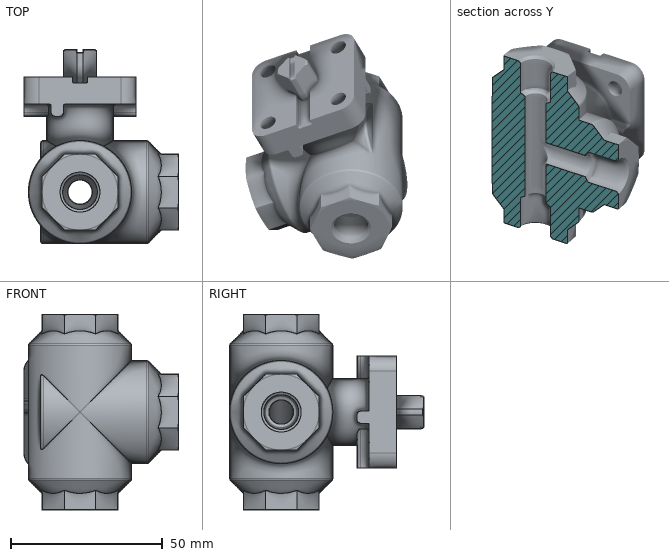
import cadquery as cq
import math

BODY_DIA = 34.0
BODY_R = BODY_DIA / 2
SHOULDER = 22.3
SHOULDER_FILLET = 1.0
BLIND_END = 13.0
BLIND_FILLET = 1.0

NUT_FLATS = 25.0
NUT_SIDES = 8
NUT_CORNER_R = NUT_FLATS / 2 / math.cos(math.pi / NUT_SIDES)
NUT_CORNER_DROP = 0.2
RUN_LENGTH = 32.25
SIDE_LENGTH = 32.5

THREAD_DIA = 11.45
THREAD_DEPTH = 12.0
COUNTERSINK_DIA = 13.15
BORE_DIA = 8.0
DRILL_HALF_ANGLE = math.radians(59)

NECK_DIA = 22.0
NECK_FILLET = 1.0
FLANGE_SIZE = 37.0
FLANGE_CORNER_R = 5.0
FLANGE_BACK = 29.0
FLANGE_FRONT = 38.0
BOLT_CIRCLE = 36.0
BOLT_DIA = 5.5
GROOVE_WIDTH = 5.0
GROOVE_DEPTH = 2.0
GROOVE_FILLET = 0.5

BAR_WIDTH = 4.0
BAR_HEIGHT = 4.0
BAR_TIP_R = 1.2
BAR_ROOT_R = 0.7
UPRIGHT_BAR_OFFSET = 7.5
LEVEL_BAR_OFFSET = 1.7

STEM_SQUARE = 9.0
STEM_DIA = 11.0
STEM_TIP = 47.0
STEM_CHAMFER = 0.5
SLOT_WIDTH = 2.0
SLOT_DEPTH = 1.0


def shoulder_edge():
    """Selector for the circle at the foot of the taper, on a barrel lying along +Z."""
    return cq.selectors.BoxSelector(
        (-BODY_R, -BODY_R, SHOULDER - SHOULDER_FILLET),
        (BODY_R, BODY_R, SHOULDER + SHOULDER_FILLET),
    )


def octagon_end(length):
    """Octagonal bar along +Z with the corners of its end chamfered to the inscribed circle."""
    blank = (
        cq.Workplane("XY")
        .circle(NUT_CORNER_R)
        .extrude(length)
        .faces(">Z")
        .chamfer(NUT_CORNER_DROP, NUT_CORNER_R - NUT_FLATS / 2)
    )
    octagon = (
        cq.Workplane("XY")
        .transformed(rotate=(0, 0, 180 / NUT_SIDES))
        .polygon(NUT_SIDES, 2 * NUT_CORNER_R)
        .extrude(length)
    )
    return octagon.intersect(blank)


def port_barrel(length):
    """Half barrel along +Z from the origin, tapering into its octagonal end."""
    taper = BODY_R - NUT_FLATS / 2
    barrel = cq.Workplane("XY").circle(BODY_R).extrude(SHOULDER + taper)
    barrel = barrel.faces(">Z").chamfer(taper)
    barrel = barrel.edges(shoulder_edge()).fillet(SHOULDER_FILLET)
    return barrel.union(octagon_end(length))


def port_bore(length):
    """Threaded-port cavity along +Z: countersink, thread hole, drill point and bore to the origin."""
    thread_r = THREAD_DIA / 2
    bore_r = BORE_DIA / 2
    sink_r = COUNTERSINK_DIA / 2
    thread_end = length - THREAD_DEPTH
    point_end = thread_end - (thread_r - bore_r) / math.tan(DRILL_HALF_ANGLE)
    return (
        cq.Workplane("XZ")
        .polyline([
            (0, 0),
            (bore_r, 0),
            (bore_r, point_end),
            (thread_r, thread_end),
            (thread_r, length - (sink_r - thread_r)),
            (sink_r, length),
            (0, length),
        ])
        .close()
        .revolve(360, (0, 0, 0), (0, 1, 0))
    )


def upward(shape):
    """Leave a +Z port where it is."""
    return shape


def downward(shape):
    """Turn a +Z port to point along -Z."""
    return shape.rotate((0, 0, 0), (1, 0, 0), 180)


def sideways(shape):
    """Turn a +Z port to point along +X."""
    return shape.rotate((0, 0, 0), (0, 1, 0), 90)


PORTS = [(upward, RUN_LENGTH), (downward, RUN_LENGTH), (sideways, SIDE_LENGTH)]


def body():
    """Tee body: the three port barrels and the blind stub on -X."""
    stub = cq.Workplane("YZ").circle(BODY_R).extrude(-BLIND_END)
    tee = stub.faces("<X").edges().fillet(BLIND_FILLET)
    for place, length in PORTS:
        tee = tee.union(place(port_barrel(length)))
    return tee


def at_y(y):
    """Workplane square to Y at the given distance; local x is +X, local y is +Z, normal is -Y."""
    return cq.Workplane("XZ", origin=(0, y, 0))


def flange():
    """Rounded square plate with its bolt holes and the groove across its outer face."""
    bolt_pitch = BOLT_CIRCLE / math.sqrt(2)
    plate = at_y(FLANGE_FRONT).rect(FLANGE_SIZE, FLANGE_SIZE).extrude(FLANGE_FRONT - FLANGE_BACK)
    plate = plate.edges("|Y").fillet(FLANGE_CORNER_R)
    bolts = (
        at_y(FLANGE_FRONT)
        .rect(bolt_pitch, bolt_pitch, forConstruction=True)
        .vertices()
        .circle(BOLT_DIA / 2)
        .extrude(FLANGE_FRONT - FLANGE_BACK)
    )
    groove = at_y(FLANGE_FRONT).rect(GROOVE_WIDTH, FLANGE_SIZE).extrude(GROOVE_DEPTH)
    groove = groove.edges("<Y and |Z").fillet(GROOVE_FILLET)
    return plate.cut(bolts).cut(groove)


def bar(offset):
    """Bar running in +Z from the neck to the flange edge, with rounded tip and filleted roots."""
    half = BAR_WIDTH / 2
    root = half + BAR_ROOT_R
    tip_y = FLANGE_BACK - BAR_HEIGHT
    tip_half = half - BAR_TIP_R
    return (
        cq.Workplane("XY")
        .moveTo(-root, FLANGE_BACK)
        .radiusArc((-half, FLANGE_BACK - BAR_ROOT_R), BAR_ROOT_R)
        .lineTo(-half, tip_y + BAR_TIP_R)
        .radiusArc((-tip_half, tip_y), -BAR_TIP_R)
        .lineTo(tip_half, tip_y)
        .radiusArc((half, tip_y + BAR_TIP_R), -BAR_TIP_R)
        .lineTo(half, FLANGE_BACK - BAR_ROOT_R)
        .radiusArc((root, FLANGE_BACK), BAR_ROOT_R)
        .close()
        .extrude(FLANGE_SIZE / 2)
        .translate((offset, 0, 0))
    )


def bars():
    """Four bars around the neck; opposite bars are half a turn apart."""
    upright = bar(-UPRIGHT_BAR_OFFSET)
    level = bar(LEVEL_BAR_OFFSET).rotate((0, 0, 0), (0, 1, 0), -90)
    pair = upright.union(level)
    return pair.union(pair.rotate((0, 0, 0), (0, 1, 0), 180))


def neck():
    """Round neck from the body to the flange, flared by a fillet where it meets the plate."""
    neck_r = NECK_DIA / 2
    return (
        cq.Workplane("XY")
        .lineTo(neck_r, 0)
        .lineTo(neck_r, FLANGE_BACK - NECK_FILLET)
        .radiusArc((neck_r + NECK_FILLET, FLANGE_BACK), NECK_FILLET)
        .lineTo(0, FLANGE_BACK)
        .close()
        .revolve(360, (0, 0, 0), (0, 1, 0))
    )


def stem():
    """Square drive on its corner, corners turned round, with a chamfered and slotted tip."""
    base = FLANGE_FRONT - GROOVE_DEPTH
    length = STEM_TIP - base
    diamond = at_y(STEM_TIP).transformed(rotate=(0, 0, 45)).rect(STEM_SQUARE, STEM_SQUARE).extrude(length)
    turned = at_y(STEM_TIP).circle(STEM_DIA / 2).extrude(length)
    turned = turned.faces(">Y").chamfer(STEM_CHAMFER)
    slot = at_y(STEM_TIP).rect(SLOT_WIDTH, STEM_DIA).extrude(SLOT_DEPTH)
    return diamond.intersect(turned).cut(slot)


result = body().union(neck()).union(flange()).union(bars()).union(stem())
for place_port, port_length in PORTS:
    result = result.cut(place_port(port_bore(port_length)))